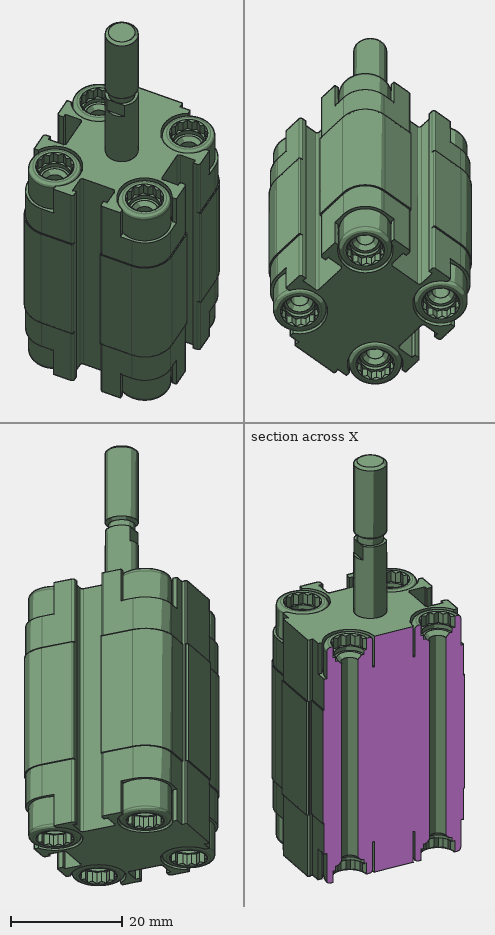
import cadquery as cq
import math


housing_height = 48.05
cap_height = 12.5
barrel_width = 29.0
barrel_step = 0.2
cap_half = barrel_width / 2 - barrel_step
screw_spacing = 18.0
screw_offset = screw_spacing / 2
barrel_corner_radius = 5.4

rail_rise = 1.0
rail_top = barrel_width / 2 + rail_rise
rail_top_half_width = 4.6
rail_wide_half_width = 4.8
rail_wide_rise = 0.67
rail_wide_y = barrel_width / 2 + rail_wide_rise
rail_base_half_width = 4.6

slot_mouth_width = 5.4
slot_inner_width = 6.9
slot_floor = 9.6
lip_thickness = 1.5
slot_floor_radius = 0.5
barrel_lip_radius = 0.2
cap_lip_radius = 0.5

boss_diameter = 9.5
boss_edge_radius = 0.8
boss_clearance_diameter = 10.0
corner_recess_depth = 6.2
corner_recess_inset = 2.3

hexagon_sides = 6
hexagon_turn = 180 / hexagon_sides
socket_across_flats = 6.0
socket_corner_diameter = socket_across_flats / math.cos(math.radians(hexagon_turn))
socket_entry_chamfer = 0.4
socket_depth = 2.3
pilot_diameter = 5.7
pilot_depth = 3.15
countersink_diameter = 4.8
through_diameter = 3.2

overall_height = 78.5
shank_diameter = 6.0
shank_length = 14.5
flat_length = 2.8
flat_across = 4.9
thread_diameter = 6.0
thread_length = 14.1
thread_root_diameter = 4.8
tip_chamfer_height = 0.5
groove_diameter = 4.8
groove_chamfer_height = 0.5

screw_centers = [(sx * screw_offset, sy * screw_offset) for sx in (-1, 1) for sy in (-1, 1)]
slot_angles = (0, 90, -90)


def turned_body(profile):
    """Solid of revolution about Z from (radius, height) points."""
    return cq.Workplane("XZ").polyline(profile).close().revolve(360, (0, 0, 0), (0, 1, 0))


def outer_block(inset, bottom, height):
    """Rounded square with the +Y rail, drawn in by `inset` from the barrel size."""
    side = barrel_width - 2 * inset
    body = (
        cq.Workplane("XY")
        .workplane(offset=bottom)
        .rect(side, side)
        .extrude(height)
        .edges("|Z")
        .fillet(barrel_corner_radius - inset)
    )
    half_rail = [
        (rail_base_half_width, side / 2),
        (rail_wide_half_width, rail_wide_y - inset),
        (rail_top_half_width, rail_top - inset),
    ]
    mirrored = [(-x, y) for x, y in reversed(half_rail)]
    root = [(-rail_base_half_width, 0), (rail_base_half_width, 0)]
    rail = cq.Workplane("XY").workplane(offset=bottom).polyline(root + half_rail + mirrored).close()
    return body.union(rail.extrude(height))


def slot_mouth(outer_face, lip_radius, bottom, height):
    """Mouth of the -Y slot with rounded lips at the given outer face."""
    half = slot_mouth_width / 2
    arc_inset = lip_radius * (1 - math.sqrt(0.5))
    return (
        cq.Workplane("XY")
        .workplane(offset=bottom)
        .moveTo(half, -slot_floor)
        .lineTo(half, -outer_face + lip_radius)
        .threePointArc((half + arc_inset, -outer_face + arc_inset), (half + lip_radius, -outer_face))
        .lineTo(-half - lip_radius, -outer_face)
        .threePointArc((-half - arc_inset, -outer_face + arc_inset), (-half, -outer_face + lip_radius))
        .lineTo(-half, -slot_floor)
        .close()
        .extrude(height)
    )


def slot_cutter():
    """Full-height T-slot of the -Y side."""
    inner_depth = barrel_width / 2 - lip_thickness - slot_floor
    channel = (
        cq.Workplane("XY")
        .center(0, -slot_floor - inner_depth / 2)
        .rect(slot_inner_width, inner_depth)
        .extrude(housing_height)
        .edges("|Z and >Y")
        .fillet(slot_floor_radius)
    )
    barrel_height = housing_height - 2 * cap_height
    barrel_mouth = slot_mouth(barrel_width / 2, barrel_lip_radius, cap_height, barrel_height)
    cutter = channel.union(barrel_mouth)
    for bottom in (0, housing_height - cap_height):
        cutter = cutter.union(slot_mouth(cap_half, cap_lip_radius, bottom, cap_height))
    return cutter


def corner_recess(screw_x, screw_y):
    """Open corner around the boss at the top end, leaving the boss standing."""
    edge = screw_offset - corner_recess_inset
    size = barrel_width / 2 - edge
    middle = edge + size / 2
    floor_plane = cq.Workplane("XY").workplane(offset=housing_height - corner_recess_depth)
    corner = (
        floor_plane.center(math.copysign(middle, screw_x), math.copysign(middle, screw_y))
        .rect(size, size)
        .extrude(corner_recess_depth)
    )
    boss = floor_plane.center(screw_x, screw_y).circle(boss_diameter / 2).extrude(corner_recess_depth)
    clearance = floor_plane.center(screw_x, screw_y).circle(boss_clearance_diameter / 2)
    return corner.union(clearance.extrude(corner_recess_depth)).cut(boss)


def boss_edge_rounding():
    """Ring that rounds the top edge of a boss on the Z axis."""
    radius = boss_diameter / 2
    flat_radius = radius - boss_edge_radius
    diagonal = boss_edge_radius * math.sqrt(0.5)
    return (
        cq.Workplane("XZ")
        .moveTo(flat_radius, housing_height)
        .threePointArc(
            (flat_radius + diagonal, housing_height - boss_edge_radius + diagonal),
            (radius, housing_height - boss_edge_radius),
        )
        .lineTo(radius, housing_height)
        .close()
        .revolve(360, (0, 0, 0), (0, 1, 0))
    )


def screw_socket():
    """Chamfered twelve-point socket, pilot bore and countersink at the top end of the Z axis."""
    corner_radius = socket_corner_diameter / 2
    bottom_plane = cq.Workplane("XY").workplane(offset=housing_height - socket_depth)
    hexagon = bottom_plane.polygon(hexagon_sides, socket_corner_diameter).extrude(socket_depth)
    socket = hexagon.union(hexagon.rotate((0, 0, 0), (0, 0, 1), hexagon_turn))
    turned = [
        (0, housing_height),
        (corner_radius, housing_height),
        (corner_radius - socket_entry_chamfer, housing_height - socket_entry_chamfer),
        (pilot_diameter / 2, housing_height - socket_entry_chamfer),
        (pilot_diameter / 2, housing_height - pilot_depth),
        (countersink_diameter / 2, housing_height - pilot_depth),
        (0, housing_height - pilot_depth - countersink_diameter / 2),
    ]
    return socket.union(turned_body(turned))


def make_housing():
    """Barrel and caps in one piece, with slots, corner bosses and screw holes."""
    housing = outer_block(barrel_step, 0, housing_height)
    housing = housing.union(outer_block(0, cap_height, housing_height - 2 * cap_height))
    slot = slot_cutter()
    for angle in slot_angles:
        housing = housing.cut(slot.rotate((0, 0, 0), (0, 0, 1), angle))
    rounding = boss_edge_rounding()
    socket = screw_socket()
    middle = (0, 0, housing_height / 2)
    for x, y in screw_centers:
        for cutter in (corner_recess(x, y), rounding.translate((x, y, 0)), socket.translate((x, y, 0))):
            housing = housing.cut(cutter).cut(cutter.mirror("XY", middle))
    holes = cq.Workplane("XY").pushPoints(screw_centers).circle(through_diameter / 2)
    return housing.cut(holes.extrude(housing_height))


def make_rod():
    """Rod standing on the housing: shank with wrench flats, undercut groove and plain thread end."""
    tip = overall_height
    shoulder = housing_height + shank_length
    thread_start = tip - thread_length
    thread_radius = thread_diameter / 2
    groove_radius = groove_diameter / 2
    profile = [
        (0, housing_height),
        (shank_diameter / 2, housing_height),
        (shank_diameter / 2, shoulder),
        (groove_radius, shoulder),
        (groove_radius, thread_start - groove_chamfer_height),
        (thread_radius, thread_start),
        (thread_radius, tip - tip_chamfer_height),
        (thread_root_diameter / 2, tip),
        (0, tip),
    ]
    rod = turned_body(profile)
    for side in (-1, 1):
        flat = (
            cq.Workplane("XY")
            .workplane(offset=shoulder - flat_length)
            .center(0, side * (flat_across + shank_diameter) / 2)
            .rect(shank_diameter, shank_diameter)
            .extrude(flat_length)
        )
        rod = rod.cut(flat)
    return rod


housing = make_housing()
rod = make_rod()
result = cq.Compound.makeCompound([housing.val(), rod.val()])